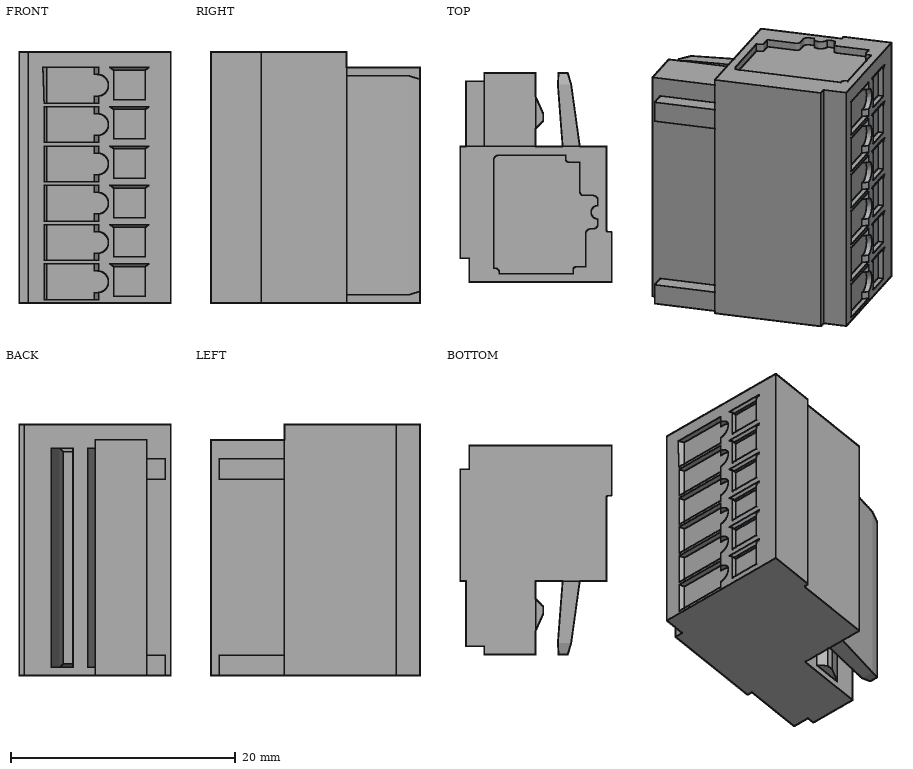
import cadquery as cq
import math

body_width = 13.5
body_depth = 12.1
body_height = 22.4
stack_height = 21.0
pole_count = 6
pole_pitch = stack_height / pole_count

left_step_width = 0.78
left_step_depth = 2.13
right_step_width = 0.47
right_step_depth = 4.5
right_step_radius = 0.11

mating_end = 18.65
block_left = 2.13
block_right = 6.72
rail_left = 0.52
rail_end = 17.92
rail_height = 1.81
rail_poles = (0, pole_count - 1)
ridge_profile = [(block_right, 13.66), (7.41, 14.38), (7.41, 15.0), (block_right, 16.55)]
latch_end_inset = 0.75
latch_tip_start = 17.6
latch_tip_drop = 0.31
latch_profile = [
    (9.12, body_depth), (10.66, body_depth), (9.9, latch_tip_start),
    (9.59, mating_end), (8.75, mating_end), (8.7, latch_tip_start),
]

pocket_depth = 0.5
lever_left = 2.22
lever_floor_left = 2.45
lever_floor_right = 6.68
lever_right = 7.08
lever_bottom = 0.31
lever_top = pole_pitch
end_lever_skew = 0.11
thumb_x = 7.0
thumb_radius = 0.96

entry_left = 8.42
entry_right = 11.22
entry_bottom = 0.63
funnel_rise = 0.25
funnel_spread = 0.34
entry_top = pole_pitch - funnel_rise

recess_depth = 0.67
recess_corners = [
    (2.98, 11.31, 0.45), (9.39, 11.31, 0), (9.39, 10.7, 0.27), (10.66, 10.7, 0),
    (10.66, 7.73, 0.34), (12.28, 7.73, 0.45), (12.28, 4.75, 0.45), (11.18, 4.75, 0.45),
    (11.18, 1.37, 0), (10.05, 1.37, 0.27), (10.05, 0.76, 0), (3.5, 0.76, 0),
    (3.5, 1.25, 0.4), (2.98, 1.25, 0),
]
recess_lobe_x = 12.28
recess_lobe_y = 6.23
recess_lobe_radius = 0.6


def box(x0, x1, y0, y1, z0, z1):
    """Axis-aligned block between two opposite corners."""
    return cq.Workplane("XY").box(x1 - x0, y1 - y0, z1 - z0, centered=False).translate((x0, y0, z0))


def prism(profile, z0, z1):
    """Extrude an XY outline from z0 to z1."""
    return cq.Workplane("XY").workplane(offset=z0).polyline(profile).close().extrude(z1 - z0)


def frustum(face_outline, floor_outline, depth):
    """Solid from an XZ outline on the wiring face to another one at the given depth."""
    start = cq.Wire.makePolygon([cq.Vector(x, 0, z) for x, z in face_outline], close=True)
    end = cq.Wire.makePolygon([cq.Vector(x, depth, z) for x, z in floor_outline], close=True)
    return cq.Workplane(cq.Solid.makeLoft([start, end], True))


def rounded_outline(plane, corners):
    """Closed outline of right-angled corners, each rounded by its own radius."""
    outline = None
    for index, (x, y, radius) in enumerate(corners):
        before = cq.Vector(*corners[index - 1][:2])
        after = cq.Vector(*corners[(index + 1) % len(corners)][:2])
        corner = cq.Vector(x, y)
        to_before = (before - corner).normalized() * radius if radius else cq.Vector()
        to_after = (after - corner).normalized() * radius if radius else cq.Vector()
        start = corner + to_before
        outline = outline.lineTo(start.x, start.y) if outline else plane.moveTo(start.x, start.y)
        if radius:
            middle = corner + (to_before + to_after) * (1 - math.sqrt(0.5))
            end = corner + to_after
            outline = outline.threePointArc((middle.x, middle.y), (end.x, end.y))
    return outline.close()


def make_body():
    shoulder = body_width - right_step_width
    corners = [
        (left_step_width, 0, 0), (body_width, 0, 0),
        (body_width, right_step_depth, right_step_radius),
        (shoulder, right_step_depth, right_step_radius),
        (shoulder, body_depth, 0), (0, body_depth, 0),
        (0, left_step_depth, 0), (left_step_width, left_step_depth, 0),
    ]
    return rounded_outline(cq.Workplane("XY"), corners).extrude(body_height)


def make_mating_block():
    block = box(block_left, block_right, body_depth, mating_end, 0, stack_height)
    for pole in rail_poles:
        base = pole * pole_pitch
        block = block.union(box(rail_left, block_left, body_depth, rail_end, base, base + rail_height))
    ridge = prism(ridge_profile, latch_end_inset, stack_height - latch_end_inset)
    return block.union(ridge)


def make_latch():
    bottom = latch_end_inset
    top = stack_height - latch_end_inset
    side = [
        (body_depth, bottom), (latch_tip_start, bottom), (mating_end, bottom + latch_tip_drop),
        (mating_end, top - latch_tip_drop), (latch_tip_start, top), (body_depth, top),
    ]
    taper = cq.Workplane("YZ").polyline(side).close().extrude(body_width)
    return prism(latch_profile, bottom, top).intersect(taper)


def lever_pocket(pole):
    base = pole * pole_pitch
    bottom = base + lever_bottom
    top = base + lever_top
    skew = end_lever_skew if pole == pole_count - 1 else 0
    face = [(lever_left, bottom), (lever_right, bottom), (lever_right, top), (lever_left - skew, top)]
    floor = [
        (lever_floor_left, bottom), (lever_floor_right, bottom),
        (lever_floor_right, top), (lever_floor_left, top),
    ]
    thumb_z = (bottom + top) / 2
    thumb = cq.Workplane("XZ").center(thumb_x, thumb_z).circle(thumb_radius).extrude(-pocket_depth)
    slot = box(lever_floor_right, thumb_x, 0, pocket_depth, thumb_z - thumb_radius, thumb_z + thumb_radius)
    return frustum(face, floor, pocket_depth).union(slot).union(thumb)


def wire_entry(pole):
    base = pole * pole_pitch
    bottom = base + entry_bottom
    top = base + entry_top
    lip = top + funnel_rise
    hole = box(entry_left, entry_right, 0, pocket_depth, bottom, top)
    face = [
        (entry_left, top), (entry_right, top),
        (entry_right + funnel_spread, lip), (entry_left - funnel_spread, lip),
    ]
    funnel = cq.Workplane("XZ").polyline(face).close().extrude(-funnel_rise)
    slope_profile = [(0, top), (0, lip), (funnel_rise, top)]
    slope = cq.Workplane("YZ").polyline(slope_profile).close().extrude(body_width)
    return hole.union(funnel.intersect(slope))


def label_recess():
    floor = body_height - recess_depth
    recess = rounded_outline(cq.Workplane("XY").workplane(offset=floor), recess_corners)
    recess = recess.extrude(recess_depth)
    lobe = cq.Workplane("XY").workplane(offset=floor).center(recess_lobe_x, recess_lobe_y)
    return recess.cut(lobe.circle(recess_lobe_radius).extrude(recess_depth))


result = make_body().union(make_mating_block()).union(make_latch())
for pole in range(pole_count):
    result = result.cut(lever_pocket(pole)).cut(wire_entry(pole))
result = result.cut(label_recess())